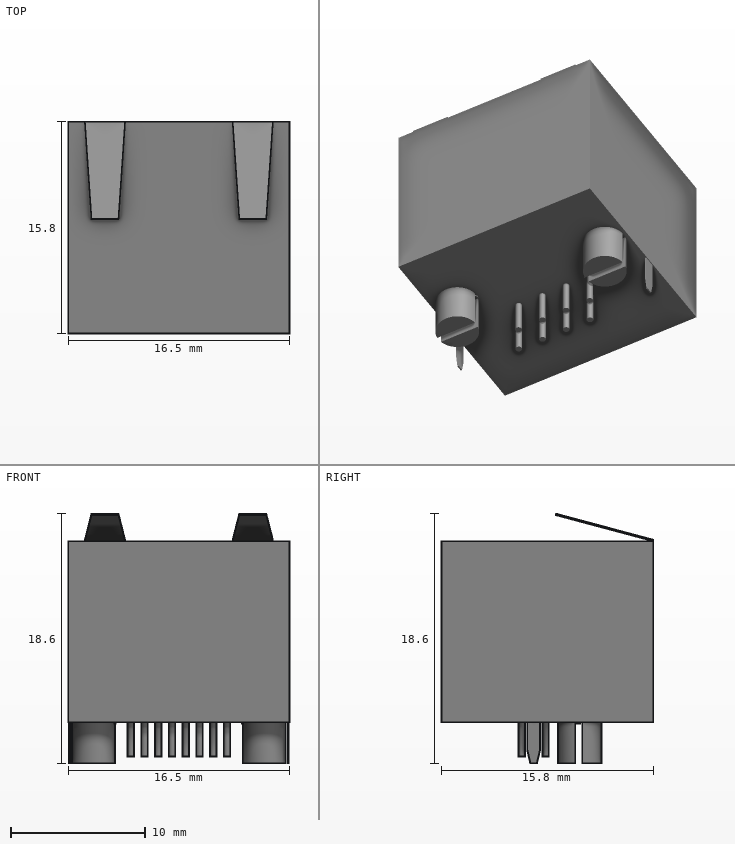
import cadquery as cq
import math


width = 16.5
depth = 15.78
overall_height = 18.59

sheet = 0.1

leg_length = 3.05
pin_length = 2.55

peg_diameter = 3.25
peg_x = 6.35
peg_y = 2.42
peg_slot = 0.5
peg_slot_y = 2.35

stud_diameter = 0.5
stud_length = 0.1
stud_overhang = 0.04
stud_x = peg_x - peg_diameter / 2 - stud_overhang + stud_diameter / 2
stud_y = 2.21

pin_count = 8
pin_diameter = 0.5
pin_pitch = 1.02
pin_row_spacing = 1.78
pin_middle_y = -1.02

shield_leg_inset = 0.05
shield_leg_y = pin_middle_y
shield_leg_width = 0.97
shield_leg_tip_width = 0.5
shield_leg_straight = 2.05

spring_x = 5.5
spring_length = 7.5
spring_root_width = 3.0
spring_tip_width = 2.0
spring_angle = math.radians(15)
spring_rise = spring_length * math.sin(spring_angle) + sheet * math.cos(spring_angle)

box_height = overall_height - leg_length - spring_rise


def make_box():
    return cq.Workplane("XY").box(width, depth, box_height, centered=(True, True, False))


def make_peg(x):
    """Round peg below the box, split along X by a slot through its full length."""
    peg = cq.Workplane("XY").center(x, peg_y).circle(peg_diameter / 2).extrude(-leg_length)
    slot = cq.Workplane("XY").center(x, peg_slot_y).rect(peg_diameter, peg_slot).extrude(-leg_length)
    return peg.cut(slot)


def make_stud(x):
    """Short round stud below the box, in the peg slot."""
    return cq.Workplane("XY").center(x, stud_y).circle(stud_diameter / 2).extrude(-stud_length)


def make_pins():
    """Pins at even pitch along X, alternating between the two rows."""
    points = []
    for i in range(pin_count):
        x = (i - (pin_count - 1) / 2) * pin_pitch
        row_side = (-1) ** i
        points.append((x, pin_middle_y + row_side * pin_row_spacing / 2))
    return cq.Workplane("XY").pushPoints(points).circle(pin_diameter / 2).extrude(-pin_length)


def make_shield_leg(side):
    """Thin leg with a tapered tip; side is -1 or +1 along X."""
    half_width = shield_leg_width / 2
    half_tip = shield_leg_tip_width / 2
    middle_x = side * (width / 2 - shield_leg_inset - sheet / 2)
    return (
        cq.Workplane("YZ", origin=(middle_x, shield_leg_y, 0))
        .moveTo(-half_width, 0)
        .lineTo(half_width, 0)
        .lineTo(half_width, -shield_leg_straight)
        .lineTo(half_tip, -leg_length)
        .lineTo(-half_tip, -leg_length)
        .lineTo(-half_width, -shield_leg_straight)
        .close()
        .extrude(sheet / 2, both=True)
    )


def make_housing():
    """Box with its pegs, studs, pins and shield legs as one solid."""
    body = make_box().union(make_pins())
    for side in (-1, 1):
        body = body.union(make_peg(side * peg_x))
        body = body.union(make_stud(side * stud_x))
        body = body.union(make_shield_leg(side))
    return body


def make_spring(x):
    """Tapered strip resting on its lower root edge, with its upper root edge flush with the back of the box."""
    root_y = depth / 2 - sheet * math.sin(spring_angle)
    plane = cq.Plane(
        origin=(x, root_y, box_height),
        xDir=(1, 0, 0),
        normal=(0, math.sin(spring_angle), math.cos(spring_angle)),
    )
    return (
        cq.Workplane(plane)
        .moveTo(-spring_root_width / 2, 0)
        .lineTo(spring_root_width / 2, 0)
        .lineTo(spring_tip_width / 2, -spring_length)
        .lineTo(-spring_tip_width / 2, -spring_length)
        .close()
        .extrude(sheet)
    )


housing = make_housing()
springs = [make_spring(side * spring_x) for side in (-1, 1)]

result = cq.Compound.makeCompound([*housing.solids().vals(), *[spring.val() for spring in springs]])